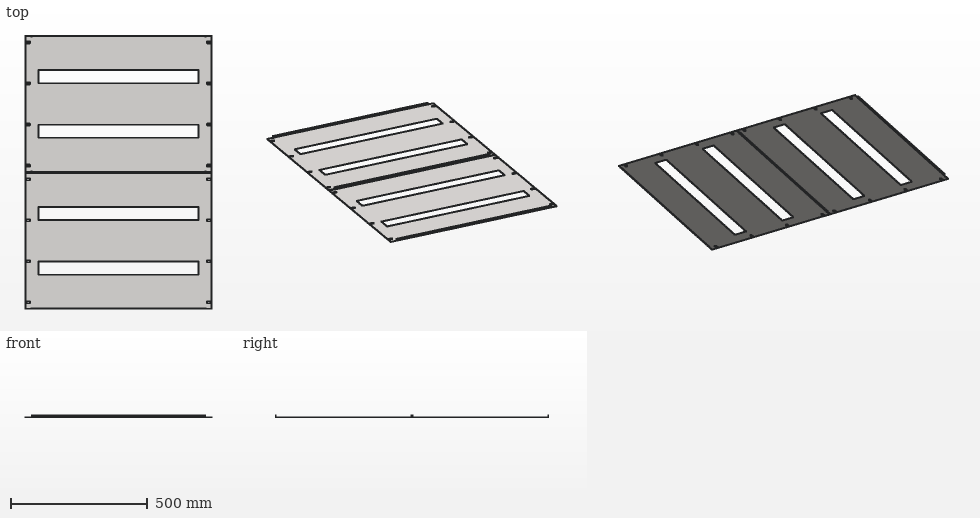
import cadquery as cq

overall_length = 998.0
panel_gap = 3.0
panel_count = 2
panel_length = (overall_length - panel_gap * (panel_count - 1)) / panel_count
panel_pitch = panel_length + panel_gap
grid = panel_pitch / 10
panel_width = 682.0
panel_height = 8.0
sheet = 1.2

flange_length = 634.0
relief_width = 3.0
relief_depth = 1.5

window_count = 2
window_length = 584.0
window_width = 47.0
window_pitch = 4 * grid

slot_length = 15.0
slot_width = 6.5
slot_edge_distance = 10.0
slot_pitch = 3 * grid
slots_per_side = 4


def make_base_sheet():
    """Flat sheet with its underside on Z = 0."""
    return cq.Workplane("XY").box(panel_width, panel_length, sheet, centered=(True, True, False))


def add_flanges(panel):
    """Stand a flange on each Y end, flush with the end of the sheet."""
    flange_offset = (panel_length - sheet) / 2
    flanges = (
        cq.Workplane("XY")
        .pushPoints([(0, -flange_offset), (0, flange_offset)])
        .rect(flange_length, sheet)
        .extrude(panel_height)
    )
    return panel.union(flanges)


def cut_reliefs(panel):
    """Notch the sheet at both ends of each flange."""
    notches = (
        cq.Workplane("XY")
        .rarray(flange_length + relief_width, panel_length - relief_depth, 2, 2)
        .rect(relief_width, relief_depth)
        .extrude(sheet)
    )
    return panel.cut(notches)


def cut_windows(panel):
    """Open the long windows, spaced evenly about the panel centre."""
    windows = (
        cq.Workplane("XY")
        .rarray(10, window_pitch, 1, window_count)
        .rect(window_length, window_width)
        .extrude(sheet)
    )
    return panel.cut(windows)


def cut_slots(panel):
    """Cut a row of round-ended slots along each X edge."""
    slots = (
        cq.Workplane("XY")
        .rarray(panel_width - 2 * slot_edge_distance, slot_pitch, 2, slots_per_side)
        .slot2D(slot_length, slot_width)
        .extrude(sheet)
    )
    return panel.cut(slots)


def make_panel(center_y):
    """One complete flanged panel centred at the given Y."""
    panel = make_base_sheet()
    panel = add_flanges(panel)
    panel = cut_reliefs(panel)
    panel = cut_windows(panel)
    panel = cut_slots(panel)
    return panel.translate((0, center_y, 0))


panels = []
for index in range(panel_count):
    center_y = (index - (panel_count - 1) / 2) * panel_pitch
    panels.append(make_panel(center_y))

result = cq.Compound.makeCompound([panel.val() for panel in panels])